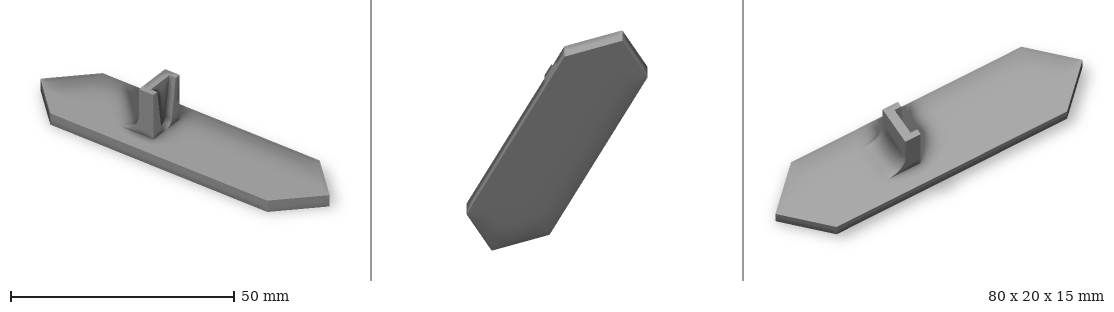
import cadquery as cq
import math

plate_length = 80.0
plate_width = 20.0
plate_thickness = 3.0
point_length = plate_width / 2

post_width = plate_width / 2
post_thickness = 4.0
post_height = 12.0
post_front_x = -5.1
post_back_x = post_front_x - post_thickness
fillet_radius = post_width / 2

notch_depth = 1.8
notch_opening_width = 7.0
notch_bottom_radius = 2.1

plate_top = plate_thickness
post_top = plate_top + post_height


def make_plate():
    half_length = plate_length / 2
    half_width = plate_width / 2
    shoulder_x = half_length - point_length
    outline = [
        (-half_length, 0),
        (-shoulder_x, -half_width),
        (shoulder_x, -half_width),
        (half_length, 0),
        (shoulder_x, half_width),
        (-shoulder_x, half_width),
    ]
    return cq.Workplane("XY").polyline(outline).close().extrude(plate_thickness)


def make_post():
    toe_x = post_back_x - fillet_radius
    fillet_top = plate_top + fillet_radius
    arc_offset = fillet_radius * math.sqrt(0.5)
    arc_middle = (toe_x + arc_offset, fillet_top - arc_offset)
    return (
        cq.Workplane("XZ")
        .moveTo(toe_x, 0)
        .lineTo(toe_x, plate_top)
        .threePointArc(arc_middle, (post_back_x, fillet_top))
        .lineTo(post_back_x, post_top)
        .lineTo(post_front_x, post_top)
        .lineTo(post_front_x, 0)
        .close()
        .extrude(post_width / 2, both=True)
    )


def make_notch():
    half_opening = notch_opening_width / 2
    round_center_z = plate_top + notch_bottom_radius
    return (
        cq.Workplane("YZ", origin=(post_front_x - notch_depth, 0, 0))
        .moveTo(-half_opening, post_top)
        .lineTo(-notch_bottom_radius, round_center_z)
        .threePointArc((0, plate_top), (notch_bottom_radius, round_center_z))
        .lineTo(half_opening, post_top)
        .close()
        .extrude(notch_depth)
    )


result = make_plate().union(make_post()).cut(make_notch())